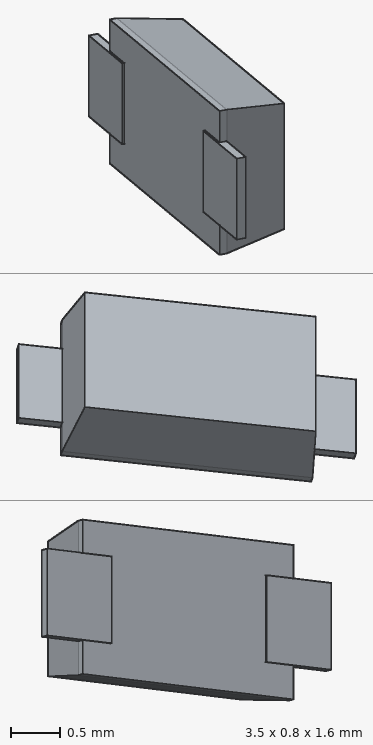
import cadquery as cq

overall_length = 3.5
overall_depth = 0.8

lead_length = 0.795
lead_width = 0.9
lead_thickness = 0.1
lead_standoff = 0.02

housing_length = 2.6
housing_height = 1.6
wall_inset = 0.1
band_depth = lead_thickness - lead_standoff
draft_depth = overall_depth - lead_thickness

mounting_face_y = lead_standoff
lead_center_x = (overall_length - lead_length) / 2


def make_lead(side):
    """Flat lead at the +X end (side = 1) or the -X end (side = -1)."""
    return (
        cq.Workplane("XY")
        .box(lead_length, lead_thickness, lead_width, centered=(True, False, True))
        .translate((side * lead_center_x, 0, 0))
    )


def make_housing(leads):
    """Moulded housing with a matching recess for each lead."""
    band = (
        cq.Workplane("XY")
        .box(housing_length, band_depth, housing_height, centered=(True, False, True))
        .translate((0, mounting_face_y, 0))
    )
    drafted_body = (
        cq.Workplane("XZ", origin=(0, lead_thickness, 0))
        .rect(housing_length, housing_height)
        .workplane(offset=-draft_depth)
        .rect(housing_length - 2 * wall_inset, housing_height - 2 * wall_inset)
        .loft(ruled=True)
    )
    housing = band.union(drafted_body)
    for lead in leads:
        housing = housing.cut(lead)
    return housing.solids()


leads = [make_lead(side) for side in (-1, 1)]
housing = make_housing(leads)

result = cq.Compound.makeCompound([housing.val(), *[lead.val() for lead in leads]])